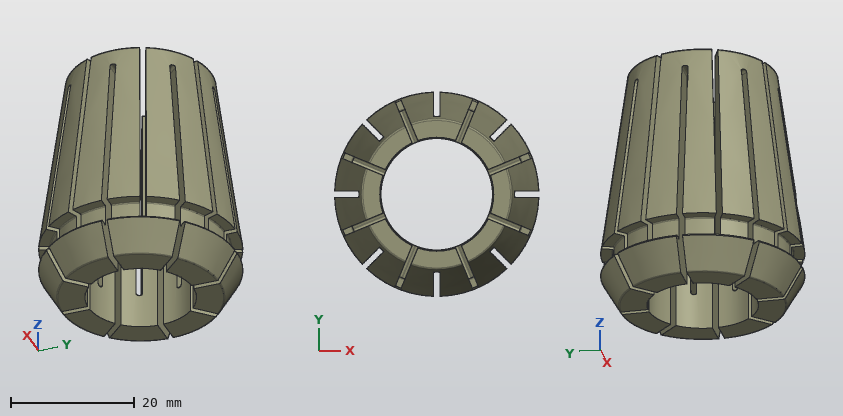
import cadquery as cq
import math

length = 40.0
max_diameter = 33.0
max_radius = max_diameter / 2
bore_radius = 9.0
bore_chamfer = 0.2

nose_half_angle = 30.0
nose_top = 5.15
nose_radius = max_radius - nose_top * math.tan(math.radians(nose_half_angle))
nose_fillet = 0.25
rim_height = 0.3
rim_inset = 0.3
flange_top = nose_top + rim_height

groove_radius = 14.6
groove_fillet = 0.15
taper_bottom = 9.1
taper_half_angle = 8.0
taper_height = length - taper_bottom
taper_top_radius = max_radius - taper_height * math.tan(math.radians(taper_half_angle))
taper_fillet = 0.3

slot_width = 1.0
slot_corner_radius = 0.45
slots_per_end = 8
slot_pitch = 360.0 / slots_per_end
bottom_slot_end = 37.0
top_slot_end = 5.9

match_tolerance = 0.005


def make_body():
    """Revolve the wall section between bore and outside about the Z axis."""
    section = [
        (bore_radius, 0),
        (nose_radius, 0),
        (max_radius, nose_top),
        (max_radius - rim_inset, flange_top),
        (groove_radius, flange_top),
        (groove_radius, taper_bottom),
        (max_radius, taper_bottom),
        (taper_top_radius, length),
        (bore_radius + bore_chamfer, length),
        (bore_radius, length - bore_chamfer),
    ]
    wall = cq.Workplane("XZ").polyline(section).close()
    return wall.revolve(360, (0, 0, 0), (0, 1, 0))


def fillet_ring(body, radius, height, fillet_radius):
    """Round the circular edge that has the given radius and height."""
    rings = [
        edge
        for edge in body.edges("%CIRCLE").vals()
        if abs(edge.radius() - radius) < match_tolerance
        and abs(edge.Center().z - height) < match_tolerance
    ]
    return body.newObject(rings).fillet(fillet_radius)


def slot_cutter(open_end, closed_end, angle):
    """Radial slot through one wall, with rounded corners at the closed end."""
    reach = max_radius + slot_width
    height = abs(closed_end - open_end)
    closed_face = ">Z" if closed_end > open_end else "<Z"
    cutter = (
        cq.Workplane("XY")
        .box(reach, slot_width, height, centered=(False, True, False))
        .translate((0, 0, min(open_end, closed_end)))
        .faces(closed_face)
        .edges("|X")
        .fillet(slot_corner_radius)
    )
    return cutter.rotate((0, 0, 0), (0, 0, 1), angle)


result = make_body()
result = fillet_ring(result, nose_radius, 0, nose_fillet)
result = fillet_ring(result, groove_radius, flange_top, groove_fillet)
result = fillet_ring(result, groove_radius, taper_bottom, groove_fillet)
result = fillet_ring(result, taper_top_radius, length, taper_fillet)

for index in range(slots_per_end):
    bottom_slot_angle = index * slot_pitch
    top_slot_angle = bottom_slot_angle + slot_pitch / 2
    result = result.cut(slot_cutter(0, bottom_slot_end, bottom_slot_angle))
    result = result.cut(slot_cutter(length, top_slot_end, top_slot_angle))